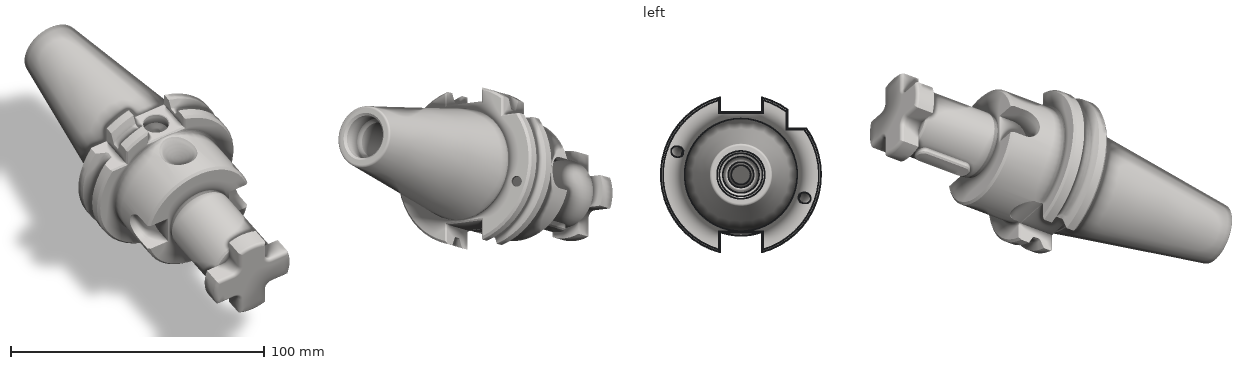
import cadquery as cq
import math


total_length = 152.4
taper_end_x = 68.9
neck_start_x = 69.8
flange_start_x = 71.5
flange_end_x = 87.3
collar_end_x = 111.4
shank_start_x = 113.4
shank_end_x = 144.3

taper_large_radius = 22.3
taper_slope = 7 / 48
taper_small_radius = taper_large_radius - taper_slope * taper_end_x
taper_end_rounding = 0.9
neck_radius = 21.6

flange_radius = 31.7
flange_chamfer = 0.9
groove_center_x = 79.2
groove_floor_radius = 28.2
groove_floor_width = 3.0
groove_mouth_width = 7.0
groove_floor_rounding = 0.9

slot_width = 16.5
upper_slot_floor_z = 25.0
lower_slot_floor_z = -22.9
lower_slot_end_x = 95.5
slot_edge_chamfer = 0.6
cut_overrun = 1.5
corner_cut_y = -18.5
corner_cut_z = 18.5

chip_pocket_radius = 5.0
chip_pocket_depth = 4.5
chip_pocket_chamfer = 0.3
chip_pilot_radius = 1.8
chip_pilot_depth = 1.5

coolant_hole_radius = 2.1
coolant_hole_y = 25.1
coolant_hole_z = 9.1
coolant_hole_tilt = 30.0
coolant_hole_depth = 7.6

collar_radius = 24.1
collar_end_chamfer = 0.9
collar_root_rounding = 0.8
dish_center_x = 96.3
dish_center_z = 29.3
dish_radius = 9.6
drive_slot_width = 12.5
drive_slot_length = 12.6
drive_slot_floor_y = 14.2

shank_radius = 13.5
shank_end_chamfer = 0.8
relief_radius = 13.1
relief_chamfer_length = 0.9

pilot_radius = 8.5
pilot_depth = 8.2
pilot_chamfer = 0.9
thread_radius = 7.2
thread_depth = 42.7
drill_cone_length = 1.2

stem_radius = 5.0
stem_length = 36.5
stem_chamfer = 1.2
head_radius = 17.5
head_arm_width = 12.3
head_corner_radius = 2.7
head_front_rounding = 1.4

key_start_x = 116.6
key_length = 24.8
key_width = 7.0
key_bottom_z = -15.5
key_height = 7.0
key_chamfer = 0.6


def revolve_about_x(points):
    """Revolve a closed outline of (x, radius) points about the X axis."""
    return cq.Workplane("XZ").polyline(points).close().revolve(360, (0, 0, 0), (1, 0, 0))


def box(x_range, y_range, z_range):
    """Box between two limits on each axis."""
    (x0, x1), (y0, y1), (z0, z1) = x_range, y_range, z_range
    return cq.Workplane("XY").box(x1 - x0, y1 - y0, z1 - z0, centered=False).translate((x0, y0, z0))


def round_circle(body, circle_x, circle_radius, rounding):
    """Round the circular edge that has the given place on the axis and the given radius."""
    tolerance = 0.02
    circles = body.edges("%CIRCLE").filter(
        lambda edge: abs(edge.Center().x - circle_x) < tolerance
        and abs(edge.radius() - circle_radius) < tolerance
    )
    return body.newObject(circles.vals()).fillet(rounding)


def make_turned_body():
    groove_floor_half = groove_floor_width / 2
    groove_mouth_half = groove_mouth_width / 2
    body = revolve_about_x([
        (0, 0),
        (0, taper_small_radius),
        (taper_end_x, taper_large_radius),
        (neck_start_x, taper_large_radius),
        (neck_start_x, neck_radius),
        (flange_start_x, neck_radius),
        (flange_start_x, flange_radius - flange_chamfer),
        (flange_start_x + flange_chamfer, flange_radius),
        (groove_center_x - groove_mouth_half, flange_radius),
        (groove_center_x - groove_floor_half, groove_floor_radius),
        (groove_center_x + groove_floor_half, groove_floor_radius),
        (groove_center_x + groove_mouth_half, flange_radius),
        (flange_end_x - flange_chamfer, flange_radius),
        (flange_end_x, flange_radius - flange_chamfer),
        (flange_end_x, collar_radius),
        (collar_end_x - collar_end_chamfer, collar_radius),
        (collar_end_x, collar_radius - collar_end_chamfer),
        (collar_end_x, relief_radius),
        (shank_start_x - relief_chamfer_length, relief_radius),
        (shank_start_x, shank_radius),
        (shank_end_x - shank_end_chamfer, shank_radius),
        (shank_end_x, shank_radius - shank_end_chamfer),
        (shank_end_x, 0),
    ])
    for side in (1, -1):
        corner_x = groove_center_x + side * groove_floor_half
        body = round_circle(body, corner_x, groove_floor_radius, groove_floor_rounding)
    body = round_circle(body, flange_end_x, collar_radius, collar_root_rounding)
    return body.faces("<X").edges().fillet(taper_end_rounding)


def make_bore():
    """Pilot bore, threaded bore and the through hole for the clamping screw."""
    return revolve_about_x([
        (0, 0),
        (0, pilot_radius + pilot_chamfer),
        (pilot_chamfer, pilot_radius),
        (pilot_depth, pilot_radius),
        (pilot_depth + pilot_radius - thread_radius, thread_radius),
        (thread_depth, thread_radius),
        (thread_depth + drill_cone_length, stem_radius),
        (shank_end_x, stem_radius),
        (shank_end_x, 0),
    ])


def make_flared_cut(y_range, z_range):
    """Box cut through the flange, with chamfered edges at both of its faces."""
    flange_span = (flange_start_x, flange_end_x)
    cut = box(flange_span, y_range, z_range)
    width = y_range[1] - y_range[0]
    height = z_range[1] - z_range[0]
    center = (sum(y_range) / 2, sum(z_range) / 2)
    for face_x, inward in ((flange_start_x, 1), (flange_end_x, -1)):
        flare = (
            cq.Workplane("YZ", origin=(face_x, 0, 0))
            .center(*center)
            .rect(width + 2 * slot_edge_chamfer, height + 2 * slot_edge_chamfer)
            .workplane(offset=inward * slot_edge_chamfer)
            .rect(width, height)
            .loft(ruled=True)
        )
        cut = cut.union(flare)
    return cut


def make_flange_cuts():
    """Two driving slots and the corner cut beside the upper one."""
    clear_radius = flange_radius + cut_overrun
    slot_span = (-slot_width / 2, slot_width / 2)
    upper_slot = make_flared_cut(slot_span, (upper_slot_floor_z, clear_radius))
    corner_cut = make_flared_cut((-clear_radius, corner_cut_y), (corner_cut_z, clear_radius))
    lower_slot = make_flared_cut(slot_span, (-clear_radius, lower_slot_floor_z))

    end_radius = slot_width / 2
    end_center_x = lower_slot_end_x - end_radius
    run_out = (
        cq.Workplane("XY", origin=(end_center_x, 0, lower_slot_floor_z))
        .circle(end_radius)
        .extrude(-(clear_radius + lower_slot_floor_z))
    )
    return upper_slot.union(corner_cut).union(lower_slot).union(run_out)


def make_chip_pocket():
    """Round pocket with a conical pilot point, in the middle of the upper slot floor."""
    center_x = (flange_start_x + flange_end_x) / 2
    pocket_floor_z = upper_slot_floor_z - chip_pocket_depth
    pocket = (
        cq.Workplane("XY", origin=(center_x, 0, pocket_floor_z))
        .circle(chip_pocket_radius)
        .extrude(chip_pocket_depth)
    )
    mouth_chamfer = cq.Workplane(cq.Solid.makeCone(
        chip_pocket_radius + chip_pocket_chamfer, chip_pocket_radius, chip_pocket_chamfer,
        cq.Vector(center_x, 0, upper_slot_floor_z), cq.Vector(0, 0, -1),
    ))
    pilot = cq.Workplane(cq.Solid.makeCone(
        chip_pilot_radius, 0, chip_pilot_depth,
        cq.Vector(center_x, 0, pocket_floor_z), cq.Vector(0, 0, -1),
    ))
    return pocket.union(mouth_chamfer).union(pilot)


def make_coolant_hole(side):
    """Blind hole that leans toward the axis; side is +1 or -1 for the two opposite holes."""
    tilt = math.radians(coolant_hole_tilt)
    mouth_radius = math.hypot(coolant_hole_y, coolant_hole_z)
    direction = cq.Vector(
        math.cos(tilt),
        -side * math.sin(tilt) * coolant_hole_y / mouth_radius,
        -side * math.sin(tilt) * coolant_hole_z / mouth_radius,
    )
    mouth = cq.Vector(flange_start_x, side * coolant_hole_y, side * coolant_hole_z)
    lead = 2 * coolant_hole_radius
    start = mouth - direction * lead
    return cq.Workplane(cq.Solid.makeCylinder(
        coolant_hole_radius, lead + coolant_hole_depth, start, direction,
    ))


def make_drive_slot(side):
    """Round-ended slot in the front of the collar, on the +Y or -Y side."""
    end_radius = drive_slot_width / 2
    end_center_x = collar_end_x - drive_slot_length + end_radius
    y_span = sorted((side * drive_slot_floor_y, side * collar_radius))
    slot = box((end_center_x, collar_end_x), y_span, (-end_radius, end_radius))
    round_end = cq.Workplane(cq.Solid.makeCylinder(
        end_radius, collar_radius - drive_slot_floor_y,
        cq.Vector(end_center_x, y_span[0], 0), cq.Vector(0, 1, 0),
    ))
    return slot.union(round_end)


def make_key_blank():
    """Round-ended bar in the underside of the shank."""
    return (
        cq.Workplane("XY", origin=(key_start_x + key_length / 2, 0, key_bottom_z))
        .slot2D(key_length, key_width)
        .extrude(key_height)
    )


def make_arbor():
    arbor = make_turned_body().cut(make_bore())
    arbor = arbor.cut(make_flange_cuts()).cut(make_chip_pocket())
    dish = cq.Workplane("XY").sphere(dish_radius).translate((dish_center_x, 0, dish_center_z))
    arbor = arbor.cut(dish)
    for side in (1, -1):
        arbor = arbor.cut(make_coolant_hole(side)).cut(make_drive_slot(side))
    return arbor.cut(make_key_blank())


def make_key():
    return make_key_blank().faces("<Z").chamfer(key_chamfer)


def make_clamping_screw():
    """Cross-shaped head with a round stem that fills the front of the arbor's bore."""
    head_disc = revolve_about_x([
        (shank_end_x, 0),
        (shank_end_x, head_radius),
        (total_length, head_radius),
        (total_length, 0),
    ])
    head_length = total_length - shank_end_x
    arm_start = cq.Workplane("YZ", origin=(shank_end_x, 0, 0))
    arms = (
        arm_start.rect(head_arm_width, 2 * head_radius).extrude(head_length)
        .union(arm_start.rect(2 * head_radius, head_arm_width).extrude(head_length))
    )
    inner_corner = head_arm_width / 2 + head_corner_radius / 2
    corner_edges = cq.selectors.BoxSelector(
        (0, -inner_corner, -inner_corner), (total_length, inner_corner, inner_corner),
    )
    arms = arms.edges("|X").edges(corner_edges).fillet(head_corner_radius)
    head = head_disc.intersect(arms)
    head = head.faces(">X").edges().fillet(head_front_rounding)

    stem_start_x = shank_end_x - stem_length
    stem = revolve_about_x([
        (stem_start_x, 0),
        (stem_start_x, stem_radius - stem_chamfer),
        (stem_start_x + stem_chamfer, stem_radius),
        (shank_end_x, stem_radius),
        (shank_end_x, 0),
    ])
    return head.union(stem)


arbor = make_arbor()
key = make_key()
clamping_screw = make_clamping_screw()

result = cq.Compound.makeCompound([arbor.val(), key.val(), clamping_screw.val()])